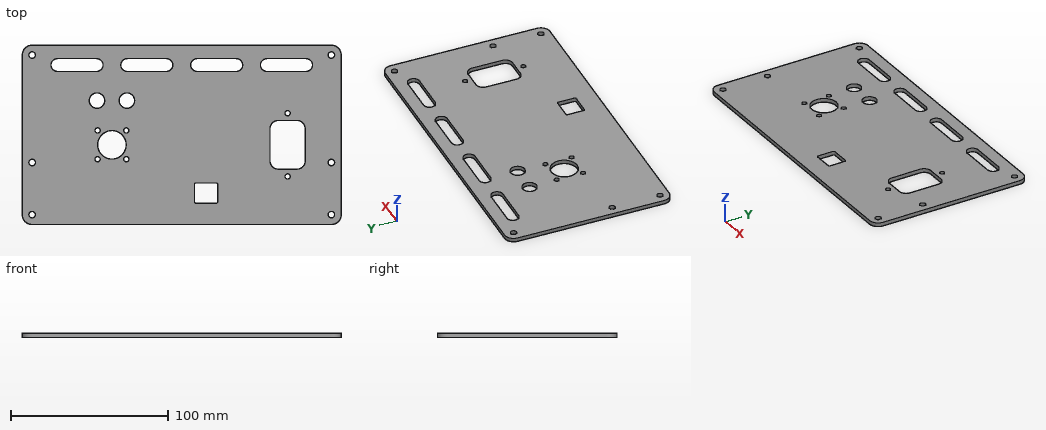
import cadquery as cq

PANEL_LENGTH = 203.2
PANEL_WIDTH = 114.3
PANEL_THICKNESS = 2.79
CORNER_RADIUS = 6.35

MOUNT_DIAMETER = 4.0
MOUNT_INSET = 6.35
MIDDLE_MOUNT_Y = -17.6

SLOT_COUNT = 4
SLOT_LENGTH = 33.0
SLOT_WIDTH = 8.0
SLOT_PITCH = 44.45
SLOT_Y = 44.45

CONNECTOR_X = -44.45
CONNECTOR_Y = -6.35
CONNECTOR_DIAMETER = 18.0
CONNECTOR_SCREW_SPACING = 18.3
SCREW_DIAMETER = 3.2

PAIR_DIAMETER = 9.7
PAIR_SPACING = 19.05
PAIR_Y = 21.8

INLET_X = 67.4
INLET_Y = -6.35
INLET_LENGTH = 22.2
INLET_HEIGHT = 30.8
INLET_CORNER_RADIUS = 5.0
INLET_SCREW_SPACING = 40.3

SWITCH_X = 15.5
SWITCH_Y = -37.1
SWITCH_LENGTH = 14.6
SWITCH_HEIGHT = 12.8
SWITCH_CORNER_RADIUS = 0.8


def round_holes(centers, diameter):
    """Cylinders through the panel thickness at the given centres."""
    return cq.Workplane("XY").pushPoints(centers).circle(diameter / 2).extrude(PANEL_THICKNESS)


def rounded_block(x, y, length, height, corner_radius):
    """Full-thickness block with rounded vertical edges, centred at (x, y)."""
    block = cq.Workplane("XY").center(x, y).rect(length, height).extrude(PANEL_THICKNESS)
    return block.edges("|Z").fillet(corner_radius)


def mounting_holes():
    edge_x = PANEL_LENGTH / 2 - MOUNT_INSET
    edge_y = PANEL_WIDTH / 2 - MOUNT_INSET
    centers = [(x, y) for x in (-edge_x, edge_x) for y in (-edge_y, MIDDLE_MOUNT_Y, edge_y)]
    return round_holes(centers, MOUNT_DIAMETER)


def ventilation_slots():
    first_x = -SLOT_PITCH * (SLOT_COUNT - 1) / 2
    centers = [(first_x + i * SLOT_PITCH, SLOT_Y) for i in range(SLOT_COUNT)]
    slots = cq.Workplane("XY").pushPoints(centers).slot2D(SLOT_LENGTH, SLOT_WIDTH)
    return slots.extrude(PANEL_THICKNESS)


def paired_openings():
    centers = [(CONNECTOR_X + side * PAIR_SPACING / 2, PAIR_Y) for side in (-1, 1)]
    return round_holes(centers, PAIR_DIAMETER)


def inlet_window():
    return rounded_block(INLET_X, INLET_Y, INLET_LENGTH, INLET_HEIGHT, INLET_CORNER_RADIUS)


def inlet_screws():
    centers = [(INLET_X, INLET_Y + side * INLET_SCREW_SPACING / 2) for side in (-1, 1)]
    return round_holes(centers, SCREW_DIAMETER)


def switch_window():
    return rounded_block(SWITCH_X, SWITCH_Y, SWITCH_LENGTH, SWITCH_HEIGHT, SWITCH_CORNER_RADIUS)


def connector_screws():
    offset = CONNECTOR_SCREW_SPACING / 2
    centers = [
        (CONNECTOR_X + side_x * offset, CONNECTOR_Y + side_y * offset)
        for side_x in (-1, 1)
        for side_y in (-1, 1)
    ]
    return round_holes(centers, SCREW_DIAMETER)


def connector_bore():
    return round_holes([(CONNECTOR_X, CONNECTOR_Y)], CONNECTOR_DIAMETER)


panel = rounded_block(0, 0, PANEL_LENGTH, PANEL_WIDTH, CORNER_RADIUS)
cutouts = (
    mounting_holes,
    ventilation_slots,
    connector_bore,
    connector_screws,
    paired_openings,
    inlet_window,
    inlet_screws,
    switch_window,
)
for cutout in cutouts:
    panel = panel.cut(cutout())

result = panel